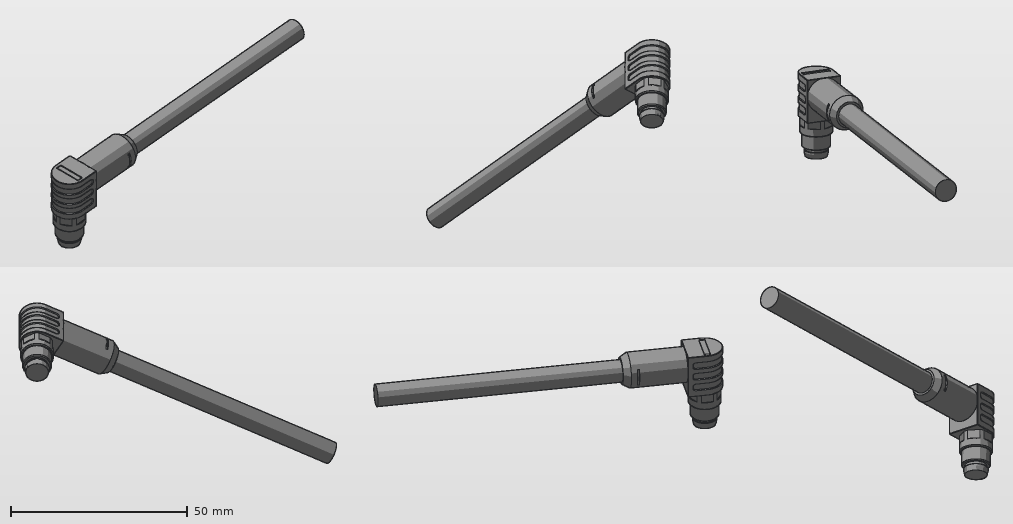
import cadquery as cq
import math


overall_length = 100.3
overall_height = 25.2
width = 10.3
radius = width / 2
top_z = radius
front_y = -radius
cable_end_y = front_y + overall_length

head_back_y = 5.8
head_height = 13.0
head_bottom_z = top_z - head_height
edge_chamfer = 0.15

grip_count = 3
grip_pitch = 3.5
first_grip_z = (top_z + head_bottom_z) / 2 + grip_pitch * (grip_count - 1) / 2
grip_floor_height = 1.8
grip_depth = 0.3
grip_slope = 0.2
grip_end_y = 4.4
grip_corner = 0.9
grip_overlap = 1.2

mark_length = 8.2
mark_width = 1.7
mark_depth = 0.3

sleeve_shoulder_y = 22.2
sleeve_end_y = 24.3
sleeve_end_radius = 3.9
notch_y = 20.1
notch_width = 0.6
notch_floor_x = 4.5

cable_diameter = 6.5

collar_radius = 4.7
collar_bottom_z = top_z - 18.2
collar_chamfer = 0.3
spanner_size = 8.7
flat_count = 6
flat_angle = 360 / flat_count
spanner_bottom_z = top_z - 15.7
spigot_radius = 4.1
spigot_bottom_z = top_z - 22.4
spigot_chamfer = 0.3

insert_radius = 3.2
bead_radius = 3.5
bead_start_z = top_z - 23.2
bead_top_z = top_z - 23.3
bead_ramp_z = top_z - 23.9
tip_z = top_z - overall_height
key_width = 0.9
key_radius = 3.3


def make_grip_groove():
    """Groove around the front and along both sides of the head, with sloping walls, centred on Z = 0."""
    floor_radius = radius - grip_depth
    floor_half = grip_floor_height / 2
    mouth_half = floor_half + grip_slope
    front_band = (
        cq.Workplane("XZ")
        .moveTo(floor_radius, -floor_half)
        .lineTo(radius, -mouth_half)
        .lineTo(width, -mouth_half)
        .lineTo(width, mouth_half)
        .lineTo(radius, mouth_half)
        .lineTo(floor_radius, floor_half)
        .close()
        .revolve(180, (0, 0, 0), (0, -1, 0))
    )
    slot_length = grip_end_y + grip_overlap
    slot_center_y = (grip_end_y - grip_overlap) / 2
    slot_outline = cq.Sketch().rect(slot_length, 2 * mouth_half).vertices().fillet(grip_corner)
    wall_taper = math.degrees(math.atan(grip_slope / grip_depth))
    side_slot = (
        cq.Workplane("YZ", origin=(radius, slot_center_y, 0))
        .placeSketch(slot_outline)
        .extrude(-grip_depth, taper=wall_taper)
    )
    return front_band.union(side_slot).union(side_slot.mirror("YZ"))


def make_head():
    """Upright block with a half-round front, grip grooves and a marking recess on top."""
    head = (
        cq.Workplane("XY", origin=(0, 0, head_bottom_z))
        .moveTo(radius, 0)
        .lineTo(radius, head_back_y)
        .lineTo(-radius, head_back_y)
        .lineTo(-radius, 0)
        .threePointArc((0, front_y), (radius, 0))
        .close()
        .extrude(head_height)
    )
    head = head.edges("|Z and >Y").chamfer(edge_chamfer)
    head = head.faces("<Z or >Z").edges().chamfer(edge_chamfer)
    groove = make_grip_groove()
    for index in range(grip_count):
        head = head.cut(groove.translate((0, 0, first_grip_z - index * grip_pitch)))
    mark = cq.Workplane("XY").box(mark_length, mark_width, 2 * mark_depth).translate((0, 0, top_z))
    return head.cut(mark)


def make_sleeve():
    """Round sleeve with a conical end and a narrow notch on each side."""
    sleeve = (
        cq.Workplane("XY")
        .moveTo(0, 0)
        .lineTo(radius, 0)
        .lineTo(radius, sleeve_shoulder_y)
        .lineTo(sleeve_end_radius, sleeve_end_y)
        .lineTo(0, sleeve_end_y)
        .close()
        .revolve(360, (0, 0, 0), (0, 1, 0))
    )
    behind_head = cq.Workplane("XY").box(2 * width, sleeve_end_y, 2 * width)
    behind_head = behind_head.translate((0, head_back_y + sleeve_end_y / 2, 0))
    sleeve = sleeve.intersect(behind_head)
    for side in (-1, 1):
        notch = cq.Workplane("XY").box(width, notch_width, width)
        sleeve = sleeve.cut(notch.translate((side * (notch_floor_x + width / 2), notch_y, 0)))
    return sleeve


def make_housing():
    """Head and cable sleeve moulded as one piece."""
    return make_head().union(make_sleeve())


def make_cable():
    """Round cable that leaves the end of the sleeve."""
    return (
        cq.Workplane("XZ", origin=(0, cable_end_y, 0))
        .circle(cable_diameter / 2)
        .extrude(cable_end_y - sleeve_end_y)
    )


def make_nut():
    """Collar with six spanner flats above a plain spigot, bored for the contact insert."""
    nut = (
        cq.Workplane("XZ")
        .moveTo(insert_radius, head_bottom_z)
        .lineTo(collar_radius, head_bottom_z)
        .lineTo(collar_radius, collar_bottom_z + collar_chamfer)
        .lineTo(collar_radius - collar_chamfer, collar_bottom_z)
        .lineTo(spigot_radius, collar_bottom_z)
        .lineTo(spigot_radius, spigot_bottom_z + spigot_chamfer)
        .lineTo(spigot_radius - spigot_chamfer, spigot_bottom_z)
        .lineTo(insert_radius, spigot_bottom_z)
        .close()
        .revolve(360, (0, 0, 0), (0, 1, 0))
    )
    flats_height = head_bottom_z - spanner_bottom_z
    hex_corner_diameter = spanner_size / math.cos(math.radians(flat_angle / 2))
    around_hex = (
        cq.Workplane("XY", origin=(0, 0, spanner_bottom_z))
        .circle(width)
        .extrude(flats_height)
    )
    hexagon = (
        cq.Workplane("XY", origin=(0, 0, spanner_bottom_z))
        .transformed(rotate=(0, 0, flat_angle / 2))
        .polygon(flat_count, hex_corner_diameter)
        .extrude(flats_height)
    )
    return nut.cut(around_hex.cut(hexagon))


def make_insert():
    """Round insert with a snap bead near its tip and a raised key along its front."""
    insert = (
        cq.Workplane("XZ")
        .moveTo(0, head_bottom_z)
        .lineTo(insert_radius, head_bottom_z)
        .lineTo(insert_radius, bead_start_z)
        .lineTo(bead_radius, bead_top_z)
        .lineTo(bead_radius, bead_ramp_z)
        .lineTo(insert_radius, tip_z)
        .lineTo(0, tip_z)
        .close()
        .revolve(360, (0, 0, 0), (0, 1, 0))
    )
    key_length = spigot_bottom_z - tip_z
    key = (
        cq.Workplane("XY", origin=(0, -key_radius / 2, tip_z))
        .rect(key_width, key_radius)
        .extrude(key_length)
    )
    key_rounding = cq.Workplane("XY", origin=(0, 0, tip_z)).circle(key_radius).extrude(key_length)
    return insert.union(key.intersect(key_rounding))


housing = make_housing()
cable = make_cable()
nut = make_nut()
insert = make_insert()

result = cq.Compound.makeCompound([housing.val(), cable.val(), nut.val(), insert.val()])